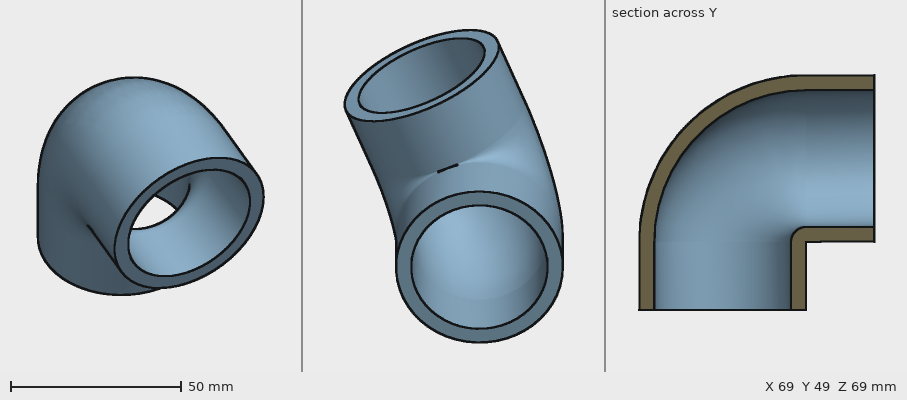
import cadquery as cq

overall_length = 69.0
outer_diameter = 49.0
bore_diameter = 40.0

collar_length = overall_length - outer_diameter
bend_radius = outer_diameter / 2


def elbow(diameter):
    """Solid elbow of one diameter; its lower leg is centred on the Z axis."""
    lower_leg = cq.Workplane("XY").circle(diameter / 2).extrude(collar_length)
    bend = (
        cq.Workplane("XY", origin=(0, 0, collar_length))
        .circle(diameter / 2)
        .revolve(90, (bend_radius, 0, 0), (bend_radius, 1, 0))
    )
    side_leg = (
        cq.Workplane("YZ", origin=(bend_radius, 0, collar_length + bend_radius))
        .circle(diameter / 2)
        .extrude(collar_length)
    )
    return lower_leg.union(bend).union(side_leg)


result = elbow(outer_diameter).cut(elbow(bore_diameter))